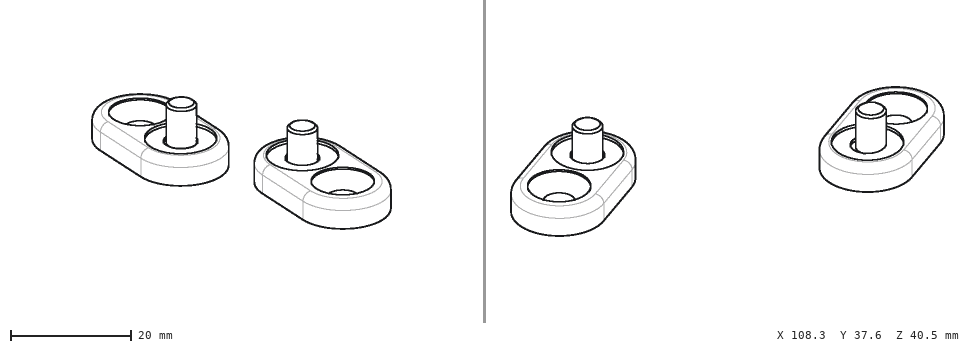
import cadquery as cq

TOTAL_X = 108.3
TOTAL_Y = 37.6
TOTAL_Z = 40.5

PLATE_WIDTH = 16.0
HOLE_SPACING = 12.0
PLATE_LENGTH = PLATE_WIDTH + HOLE_SPACING
PLATE_THICKNESS = 5.0
EDGE_FILLET = 1.5

SCREW_HOLE_DIAMETER = 5.3
COUNTERSINK_DIAMETER = 10.5
COUNTERSINK_ANGLE = 90
RIM_DEPTH = 0.3

RECESS_DIAMETER = 12.0
RECESS_DEPTH = 0.5
WELL_DIAMETER = 5.7
WELL_DEPTH = 0.5
WELL_FLOOR_DEPTH = RECESS_DEPTH + WELL_DEPTH

PIN_DIAMETER = 5.1
PIN_CHAMFER = 0.4

LOW_PIN_TOP = 11.3
PIN_ECCENTRICITY = 0.4

HIGH_PIN_TOP = 10.4

LINK_SPACING_X = TOTAL_X - PLATE_LENGTH
LINK_SPACING_Y = TOTAL_Y - PLATE_WIDTH
HIGH_LINK_BASE_Z = TOTAL_Z - HIGH_PIN_TOP


def make_plate():
    """Stadium-shaped plate with a rounded upper edge, standing on Z = 0."""
    plate = cq.Workplane("XY").slot2D(PLATE_LENGTH, PLATE_WIDTH).extrude(PLATE_THICKNESS)
    return plate.faces(">Z").edges().fillet(EDGE_FILLET)


def cut_screw_hole(plate, hole_x):
    """Cut the countersunk through hole with its straight rim."""
    rim_floor = cq.Workplane("XY", origin=(hole_x, 0, PLATE_THICKNESS - RIM_DEPTH))
    rim = rim_floor.circle(COUNTERSINK_DIAMETER / 2).extrude(RIM_DEPTH)
    return (
        plate.cut(rim)
        .copyWorkplane(rim_floor)
        .cskHole(SCREW_HOLE_DIAMETER, COUNTERSINK_DIAMETER, COUNTERSINK_ANGLE)
    )


def cut_pin_recess(plate, recess_x):
    """Cut the wide recess and the well inside it."""
    for diameter, depth in ((RECESS_DIAMETER, RECESS_DEPTH), (WELL_DIAMETER, WELL_FLOOR_DEPTH)):
        pocket = (
            cq.Workplane("XY", origin=(recess_x, 0, PLATE_THICKNESS - depth))
            .circle(diameter / 2)
            .extrude(depth)
        )
        plate = plate.cut(pocket)
    return plate


def make_pin(pin_top, pin_x, pin_y):
    """Chamfered pin rising from the bottom of the plate."""
    return (
        cq.Workplane("XY", origin=(pin_x, pin_y, 0))
        .circle(PIN_DIAMETER / 2)
        .extrude(pin_top)
        .faces(">Z")
        .chamfer(PIN_CHAMFER)
    )


def make_link(pin_top, pin_side, eccentricity):
    """One link; pin_side is +1 or -1 along X, and the pin is shifted toward -X and +Y."""
    recess_x = pin_side * HOLE_SPACING / 2
    link = make_plate()
    link = cut_screw_hole(link, -recess_x)
    link = cut_pin_recess(link, recess_x)
    pin = make_pin(pin_top, recess_x - eccentricity, eccentricity)
    return link.union(pin)


low_link = make_link(LOW_PIN_TOP, 1, PIN_ECCENTRICITY).translate(
    (-LINK_SPACING_X / 2, LINK_SPACING_Y / 2, 0)
)
high_link = make_link(HIGH_PIN_TOP, -1, 0).translate(
    (LINK_SPACING_X / 2, -LINK_SPACING_Y / 2, HIGH_LINK_BASE_Z)
)

result = cq.Compound.makeCompound([low_link.val(), high_link.val()])